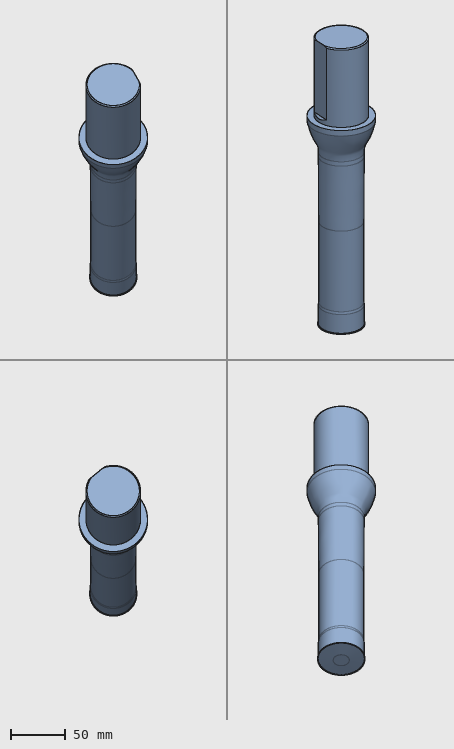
import cadquery as cq

total_length = 294.0
lip_bottom = 1.2
lip_top = 2.0
head_top = 21.2
bar_bottom = 23.8
bar_top = 106.0
collar_bottom = 172.5
collar_top = 177.0
shoulder_bottom = 183.7
flange_bottom = 208.5
flange_top = 214.0

point_diameter = 14.7
lip_diameter = 43.2
head_diameter = 42.0
bar_diameter = 41.5
collar_diameter = 42.0
flange_diameter = 62.5
shank_diameter = 50.0

shoulder_bottom_radius = 21.8
shoulder_mid_radius = 25.5
shoulder_mid_height = 191.5
shoulder_start = (0, 1)
shoulder_end = (0.25, 1)

shank_chamfer = 1.2
flat_distance = 23.0
flat_bottom = 217.5


def make_holder():
    """Bar, shoulder, flange and shank turned as one piece, with a flat on the shank."""
    head_radius = head_diameter / 2
    bar_radius = bar_diameter / 2
    collar_radius = collar_diameter / 2
    flange_radius = flange_diameter / 2
    shank_radius = shank_diameter / 2
    shoulder_points = [
        (shoulder_bottom_radius, shoulder_bottom),
        (shoulder_mid_radius, shoulder_mid_height),
        (flange_radius, flange_bottom),
    ]
    holder = (
        cq.Workplane("XZ")
        .moveTo(0, lip_top)
        .lineTo(head_radius, lip_top)
        .lineTo(head_radius, head_top)
        .lineTo(bar_radius, bar_bottom)
        .lineTo(bar_radius, bar_top)
        .lineTo(collar_radius, collar_bottom)
        .lineTo(collar_radius, collar_top)
        .spline(shoulder_points, tangents=[shoulder_start, shoulder_end], includeCurrent=True)
        .lineTo(flange_radius, flange_top)
        .lineTo(shank_radius, flange_top)
        .lineTo(shank_radius, total_length - shank_chamfer)
        .lineTo(shank_radius - shank_chamfer, total_length)
        .lineTo(0, total_length)
        .close()
        .revolve(360, (0, 0), (0, 1))
    )
    return holder.cut(make_flat_cutter())


def make_flat_cutter():
    """Material removed for the shank flat, with a 45 degree runout at its foot."""
    rim_depth = shank_diameter / 2 - flat_distance
    outer = flange_diameter / 2
    return (
        cq.Workplane("YZ")
        .moveTo(flat_distance, total_length)
        .lineTo(flat_distance, flat_bottom + rim_depth)
        .lineTo(flat_distance + rim_depth, flat_bottom)
        .lineTo(outer, flat_bottom)
        .lineTo(outer, total_length)
        .close()
        .extrude(shank_diameter / 2, both=True)
    )


def make_cutting_tip():
    """Thin cutting disc, slightly wider than the head, with a shallow blunt point."""
    return (
        cq.Workplane("XZ")
        .lineTo(point_diameter / 2, 0)
        .lineTo(lip_diameter / 2, lip_bottom)
        .lineTo(lip_diameter / 2, lip_top)
        .lineTo(0, lip_top)
        .close()
        .revolve(360, (0, 0), (0, 1))
    )


holder = make_holder()
cutting_tip = make_cutting_tip()

result = cq.Compound.makeCompound([holder.val(), cutting_tip.val()])